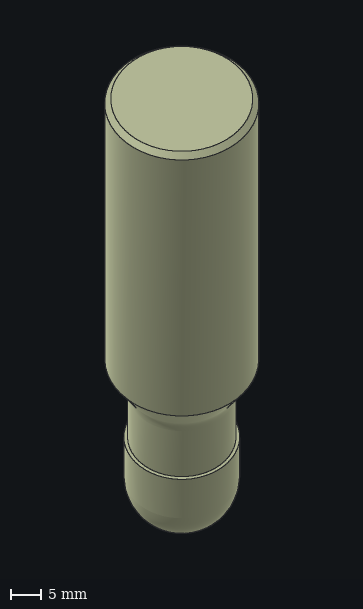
import cadquery as cq
import math

total_length = 101.6

shank_radius = 12.7
top_chamfer = 1.0
neck_radius = 8.9
neck_fillet_radius = 5.1
neck_fillet_bottom = 30.2
taper_angle = math.radians(30)

tip_radius = 9.5
tip_top = 19.1


def make_shank():
    """Cylindrical shank with a chamfered top, a conical taper and a rounded run into the neck."""
    fillet_center_x = neck_radius + neck_fillet_radius

    def fillet_point(angle):
        return (
            fillet_center_x - neck_fillet_radius * math.cos(angle),
            neck_fillet_bottom + neck_fillet_radius * math.sin(angle),
        )

    fillet_top_x, fillet_top_z = fillet_point(taper_angle)
    shank_bottom = fillet_top_z + (shank_radius - fillet_top_x) / math.tan(taper_angle)

    profile = (
        cq.Workplane("XZ")
        .moveTo(0, tip_top)
        .lineTo(neck_radius, tip_top)
        .lineTo(neck_radius, neck_fillet_bottom)
        .threePointArc(fillet_point(taper_angle / 2), (fillet_top_x, fillet_top_z))
        .lineTo(shank_radius, shank_bottom)
        .lineTo(shank_radius, total_length - top_chamfer)
        .lineTo(shank_radius - top_chamfer, total_length)
        .lineTo(0, total_length)
        .close()
    )
    return profile.revolve(360, (0, 0, 0), (0, 1, 0))


def make_tip():
    """Ball-nosed tip that sits against the flat end of the neck."""
    arc_offset = tip_radius * math.sqrt(0.5)
    profile = (
        cq.Workplane("XZ")
        .moveTo(0, 0)
        .threePointArc((arc_offset, tip_radius - arc_offset), (tip_radius, tip_radius))
        .lineTo(tip_radius, tip_top)
        .lineTo(0, tip_top)
        .close()
    )
    return profile.revolve(360, (0, 0, 0), (0, 1, 0))


shank = make_shank()
tip = make_tip()

result = cq.Compound.makeCompound([shank.val(), tip.val()])